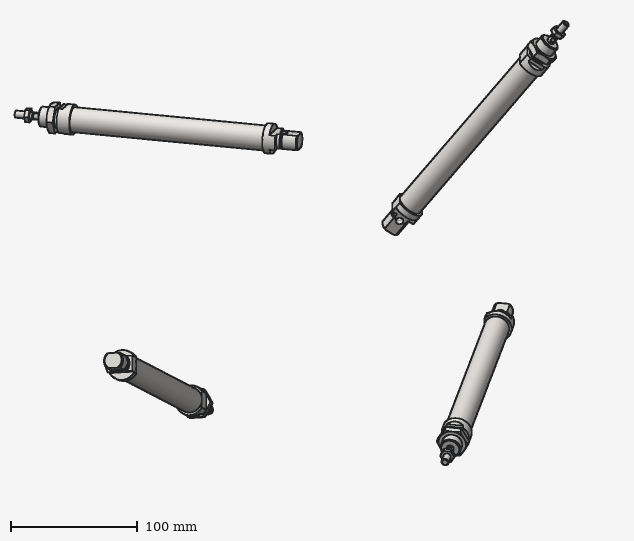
import cadquery as cq
import math

OVERALL_LENGTH = 236.0

ROD_DIAMETER = 6.0
ROD_THREAD_LENGTH = 14.6
ROD_RELIEF_DIAMETER = 4.2
ROD_RELIEF_WIDTH = 1.2
ROD_TIP_DIAMETER = 4.7
ROD_TIP_CHAMFER_LENGTH = 0.5
ROD_FLAT_SPACING = 5.0
ROD_FLAT_LENGTH = 3.5

ROD_NUT_START = 9.0
ROD_NUT_THICKNESS = 3.5
ROD_NUT_ACROSS_FLATS = 10.0

CAP_THREAD_DIAMETER = 16.0
CAP_CORE_DIAMETER = 14.5
CAP_THREAD_DEPTH = (CAP_THREAD_DIAMETER - CAP_CORE_DIAMETER) / 2
NOSE_CHAMFER_LENGTH = 0.7
TAIL_CHAMFER = 1.0

MOUNT_NUT_START = 29.3
MOUNT_NUT_THICKNESS = 5.7
MOUNT_NUT_ACROSS_FLATS = 22.0
MOUNT_NUT_CHAMFER_ANGLE = 30.0

NOSE_START = 21.2
FRONT_CAP_START = 38.0
FRONT_CAP_END = 48.4
CAP_DIAMETER = 24.0
BARREL_DIAMETER = 20.0
WRENCH_FLAT_SPACING = 20.0
WRENCH_FLAT_LENGTH = 3.0

REAR_CAP_START = 208.6
TANG_START = 214.0
REAR_CAP_END = 219.0
REAR_RELIEF_START = 221.5
REAR_RELIEF_END = 223.3
TANG_THICKNESS = 12.0
PIVOT_HOLE_X = 222.8
PIVOT_HOLE_DIAMETER = 6.0


def turned(profile):
    """Solid of revolution about X from (x, radius) points, closed along the axis."""
    first_x = profile[0][0]
    last_x = profile[-1][0]
    outline = [(first_x, 0), *profile, (last_x, 0)]
    return cq.Workplane("XY").polyline(outline).close().revolve(360, (0, 0, 0), (1, 0, 0))


def disc(start, end, diameter):
    """Cylinder on the X axis between two stations."""
    return turned([(start, diameter / 2), (end, diameter / 2)])


def hexagon(start, thickness, across_flats):
    """Hexagonal prism on the X axis with corners toward +Y and -Y."""
    across_corners = across_flats / math.cos(math.pi / 6)
    return cq.Workplane("YZ").workplane(offset=start).polygon(6, across_corners).extrude(thickness)


def outside_slab(start, end, spacing):
    """Material above and below a central slab of the given Z thickness."""
    reach = CAP_DIAMETER
    block = cq.Workplane("XY").box(end - start, 2 * reach, reach, centered=(False, True, False))
    upper = block.translate((start, 0, spacing / 2))
    return upper.union(upper.mirror("XY"))


def cut_wrench_flats(body, start, length, spacing, diameter):
    """Cut a flat above and below the axis, each running out rearward at 45 degrees."""
    height = spacing / 2
    end = start + length
    reach = diameter / 2
    upper_cut = (
        cq.Workplane("XZ")
        .polyline([
            (start, height),
            (end, height),
            (end + reach, height + reach),
            (start, height + reach),
        ])
        .close()
        .extrude(reach, both=True)
    )
    return body.cut(upper_cut).cut(upper_cut.mirror("XY"))


def trim_side(cap):
    """Cut the +Y side of a cap flat, tangent to the barrel."""
    cutter = cq.Workplane("XY").box(
        OVERALL_LENGTH, CAP_DIAMETER, 2 * CAP_DIAMETER, centered=(False, False, True)
    )
    return cap.cut(cutter.translate((0, BARREL_DIAMETER / 2, 0)))


def make_rod():
    """Threaded rod tip, relief groove, and plain rod with two wrench flats, up to the nose."""
    radius = ROD_DIAMETER / 2
    relief_radius = ROD_RELIEF_DIAMETER / 2
    relief_end = ROD_THREAD_LENGTH + ROD_RELIEF_WIDTH
    rod = turned([
        (0, ROD_TIP_DIAMETER / 2),
        (ROD_TIP_CHAMFER_LENGTH, radius),
        (ROD_THREAD_LENGTH, radius),
        (ROD_THREAD_LENGTH, relief_radius),
        (relief_end - (radius - relief_radius), relief_radius),
        (relief_end, radius),
        (NOSE_START, radius),
    ])
    return cut_wrench_flats(rod, relief_end, ROD_FLAT_LENGTH, ROD_FLAT_SPACING, ROD_DIAMETER)


def make_rod_nut():
    """Plain hexagon nut on the rod thread."""
    nut = hexagon(ROD_NUT_START, ROD_NUT_THICKNESS, ROD_NUT_ACROSS_FLATS)
    return nut.cut(disc(0, NOSE_START, ROD_DIAMETER))


def make_mount_nut():
    """Hexagon nut on the nose thread, its front corners chamfered by a cone."""
    nut_end = MOUNT_NUT_START + MOUNT_NUT_THICKNESS
    flat_radius = MOUNT_NUT_ACROSS_FLATS / 2
    run_per_rise = math.tan(math.radians(MOUNT_NUT_CHAMFER_ANGLE))
    cone = turned([
        (MOUNT_NUT_START, flat_radius),
        (nut_end, flat_radius + MOUNT_NUT_THICKNESS / run_per_rise),
    ])
    nut = hexagon(MOUNT_NUT_START, MOUNT_NUT_THICKNESS, MOUNT_NUT_ACROSS_FLATS)
    return nut.intersect(cone).cut(disc(MOUNT_NUT_START, nut_end, CAP_THREAD_DIAMETER))


def make_front_cap():
    """Threaded nose and collar, with two wrench flats that run out at 45 degrees."""
    thread_radius = CAP_THREAD_DIAMETER / 2
    core_radius = CAP_CORE_DIAMETER / 2
    collar_radius = CAP_DIAMETER / 2
    cap = turned([
        (NOSE_START, core_radius),
        (NOSE_START + NOSE_CHAMFER_LENGTH, thread_radius),
        (FRONT_CAP_START, thread_radius),
        (FRONT_CAP_START, collar_radius),
        (FRONT_CAP_END, collar_radius),
    ])
    cap = cut_wrench_flats(
        cap, FRONT_CAP_START, WRENCH_FLAT_LENGTH, WRENCH_FLAT_SPACING, CAP_DIAMETER
    )
    return trim_side(cap)


def make_barrel():
    """Plain round barrel between the two caps."""
    return disc(FRONT_CAP_END, REAR_CAP_START, BARREL_DIAMETER)


def make_rear_cap():
    """Collar and threaded tail, flattened into a tang with a pivot hole along Z."""
    thread_radius = CAP_THREAD_DIAMETER / 2
    core_radius = CAP_CORE_DIAMETER / 2
    collar_radius = CAP_DIAMETER / 2
    cap = turned([
        (REAR_CAP_START, collar_radius),
        (REAR_CAP_END, collar_radius),
        (REAR_CAP_END, thread_radius),
        (REAR_RELIEF_START, thread_radius),
        (REAR_RELIEF_START + CAP_THREAD_DEPTH, core_radius),
        (REAR_RELIEF_END, core_radius),
        (REAR_RELIEF_END, thread_radius),
        (OVERALL_LENGTH - TAIL_CHAMFER, thread_radius),
        (OVERALL_LENGTH, thread_radius - TAIL_CHAMFER),
    ])
    cap = cap.cut(outside_slab(TANG_START, OVERALL_LENGTH, TANG_THICKNESS))
    pivot_hole = (
        cq.Workplane("XY")
        .center(PIVOT_HOLE_X, 0)
        .circle(PIVOT_HOLE_DIAMETER / 2)
        .extrude(CAP_DIAMETER, both=True)
    )
    return trim_side(cap.cut(pivot_hole))


rod = make_rod()
rod_nut = make_rod_nut()
mount_nut = make_mount_nut()
front_cap = make_front_cap()
barrel = make_barrel()
rear_cap = make_rear_cap()

result = cq.Compound.makeCompound([
    rod.val(),
    rod_nut.val(),
    mount_nut.val(),
    front_cap.val(),
    barrel.val(),
    rear_cap.val(),
])